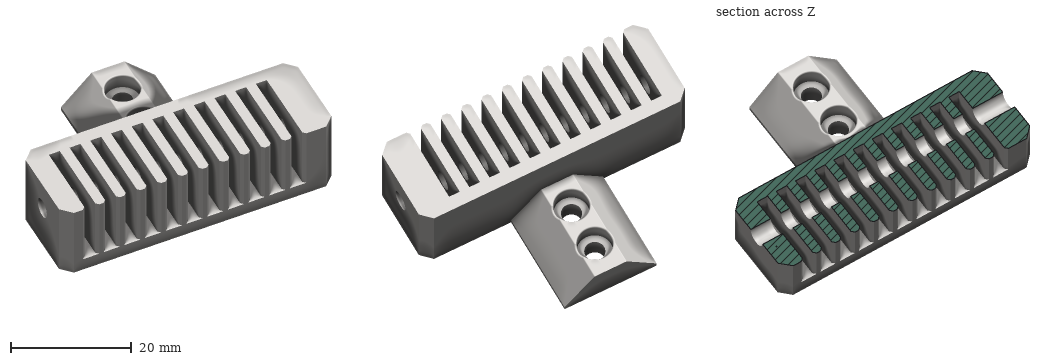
import cadquery as cq

overall_length = 35.0
block_width = 50.0
block_height = 14.0

block_length = 16.4
block_corner_chamfer = 1.85
block_left = overall_length - block_length

slot_count = 11
slot_width = 2.0
rib_thickness = 1.8
slot_pitch = slot_width + rib_thickness
first_slot_y = 18.0
back_wall = 2.4
floor_thickness = back_wall
rib_end_chamfer = 0.5

cross_hole_diameter = 3.5
cross_hole_x = block_left + block_length / 2
cross_hole_z = 8.5

rail_width = 17.3
rail_height = 6.35
rail_edge_height = 0.7
rail_top_width = rail_width - 2 * (rail_height - rail_edge_height)
rail_edge_radius = 0.25

screw_diameter = 3.5
counterbore_diameter = 6.0
counterbore_depth = 2.75
counterbore_rim_radius = 0.25
first_screw_x = 5.5
screw_spacing = 8.1
screw_positions = [first_screw_x, first_screw_x + screw_spacing]


def make_block():
    """Block with chamfered vertical corners."""
    block = cq.Workplane("XY").box(block_length, block_width, block_height, centered=(False, True, False))
    return block.edges("|Z").chamfer(block_corner_chamfer).translate((block_left, 0, 0))


def make_slot(center_y):
    """Cutter for one comb slot, flared at its mouth to chamfer the rib ends."""
    back_x = block_left + back_wall
    mouth_x = overall_length
    flare_x = mouth_x - rib_end_chamfer
    half_width = slot_width / 2
    half_mouth = half_width + rib_end_chamfer
    outline = [
        (back_x, -half_width),
        (flare_x, -half_width),
        (mouth_x, -half_mouth),
        (mouth_x, half_mouth),
        (flare_x, half_width),
        (back_x, half_width),
    ]
    slot_plane = cq.Workplane("XY", origin=(0, center_y, floor_thickness))
    return slot_plane.polyline(outline).close().extrude(block_height - floor_thickness)


def make_cross_hole():
    """Cutter for the hole along the full width of the block."""
    hole_plane = cq.Workplane("XZ", origin=(cross_hole_x, block_width / 2, cross_hole_z))
    return hole_plane.circle(cross_hole_diameter / 2).extrude(block_width)


def make_rail():
    """Dovetail rail ending at the block, with its two top edges rounded."""
    profile = [
        (-rail_width / 2, 0),
        (rail_width / 2, 0),
        (rail_width / 2, rail_edge_height),
        (rail_top_width / 2, rail_height),
        (-rail_top_width / 2, rail_height),
        (-rail_width / 2, rail_edge_height),
    ]
    rail = cq.Workplane("YZ").polyline(profile).close().extrude(block_left)
    return rail.faces(">Z").edges("|X").fillet(rail_edge_radius)


def is_rim_edge(edge, screw_x):
    """True for a curved edge where the counterbore wall breaks out of the rail's upper surface."""
    tolerance = 0.001
    counterbore_radius = counterbore_diameter / 2
    floor_z = rail_height - counterbore_depth
    on_wall = all(
        abs(((vertex.X - screw_x) ** 2 + vertex.Y ** 2) ** 0.5 - counterbore_radius) < tolerance
        for vertex in edge.Vertices()
    )
    above_floor = edge.Center().z > floor_z + tolerance
    return edge.geomType() != "LINE" and on_wall and above_floor


def add_screw_hole(rail, screw_x):
    """Counterbored through hole whose rim is rounded along the top and the flanks."""
    hole = cq.Workplane("XY", origin=(screw_x, 0, 0)).circle(screw_diameter / 2).extrude(rail_height)
    floor_plane = cq.Workplane("XY", origin=(screw_x, 0, rail_height - counterbore_depth))
    counterbore = floor_plane.circle(counterbore_diameter / 2).extrude(counterbore_depth)
    rail = rail.cut(hole).cut(counterbore)
    rim_edges = [edge for edge in rail.edges().vals() if is_rim_edge(edge, screw_x)]
    return rail.newObject(rim_edges).fillet(counterbore_rim_radius)


block = make_block().cut(make_cross_hole())
for index in range(slot_count):
    block = block.cut(make_slot(first_slot_y - index * slot_pitch))

rail = make_rail()
for screw_x in screw_positions:
    rail = add_screw_hole(rail, screw_x)

result = block.union(rail)